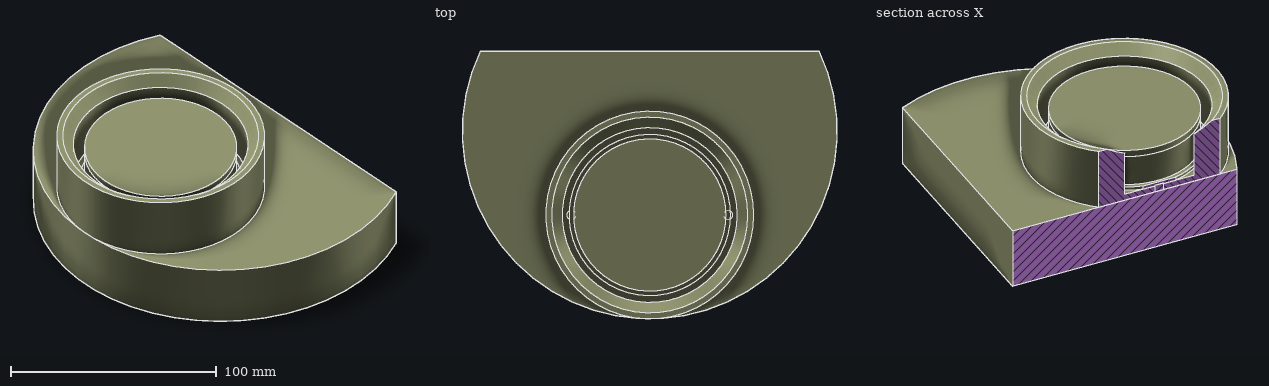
import cadquery as cq
import math

plate_radius = 91.0
plate_depth = 130.0
total_height = 65.0
plate_thickness = total_height / 2
flat_y = plate_depth - plate_radius
flat_half_width = math.sqrt(plate_radius**2 - flat_y**2)

cup_radius = 50.5
cup_y = cup_radius - plate_radius
bore_radius = 42.5
mouth_radius = 47.5
mouth_chamfer = mouth_radius - bore_radius
cup_floor_thickness = 3.5
floor_z = plate_thickness + cup_floor_thickness

disc_radius = 37.0
flange_radius = 39.2
flange_thickness = 1.8
cap_thickness = 3.6
cap_recess = 7.3
cap_top_z = total_height - cap_recess
cap_bottom_z = cap_top_z - cap_thickness

pin_radius = 2.2
pin_circle_radius = (disc_radius + flange_radius) / 2
pin_sides = (-1, 1)


def cup_cylinder(radius, bottom_z, top_z):
    """Upright cylinder on the cup axis."""
    return (
        cq.Workplane("XY", origin=(0, cup_y, bottom_z))
        .circle(radius)
        .extrude(top_z - bottom_z)
    )


def make_plate():
    return (
        cq.Workplane("XY")
        .moveTo(flat_half_width, flat_y)
        .lineTo(-flat_half_width, flat_y)
        .threePointArc((0, -plate_radius), (flat_half_width, flat_y))
        .close()
        .extrude(plate_thickness)
    )


def make_pin(side):
    """Pin through the cup floor, flush with both faces of the floor."""
    return (
        cq.Workplane("XY", origin=(side * pin_circle_radius, cup_y, plate_thickness))
        .circle(pin_radius)
        .extrude(cup_floor_thickness)
    )


def make_cup(pins):
    cup = cup_cylinder(cup_radius, plate_thickness, total_height)
    cup = cup.cut(cup_cylinder(bore_radius, floor_z, total_height))
    bore_rim = cq.selectors.RadiusNthSelector(0)
    cup = cup.faces(">Z").edges(bore_rim).chamfer(mouth_chamfer)
    for pin in pins:
        cup = cup.cut(pin)
    return cup


def make_pedestal():
    flange = cup_cylinder(flange_radius, floor_z, floor_z + flange_thickness)
    column = cup_cylinder(disc_radius, floor_z, cap_bottom_z)
    return flange.union(column)


def make_cap():
    return cup_cylinder(disc_radius, cap_bottom_z, cap_top_z)


plate = make_plate()
pins = [make_pin(side) for side in pin_sides]
cup = make_cup(pins)
pedestal = make_pedestal()
cap = make_cap()

result = cq.Compound.makeCompound(
    [plate.val(), cup.val(), pedestal.val(), cap.val(), *[pin.val() for pin in pins]]
)